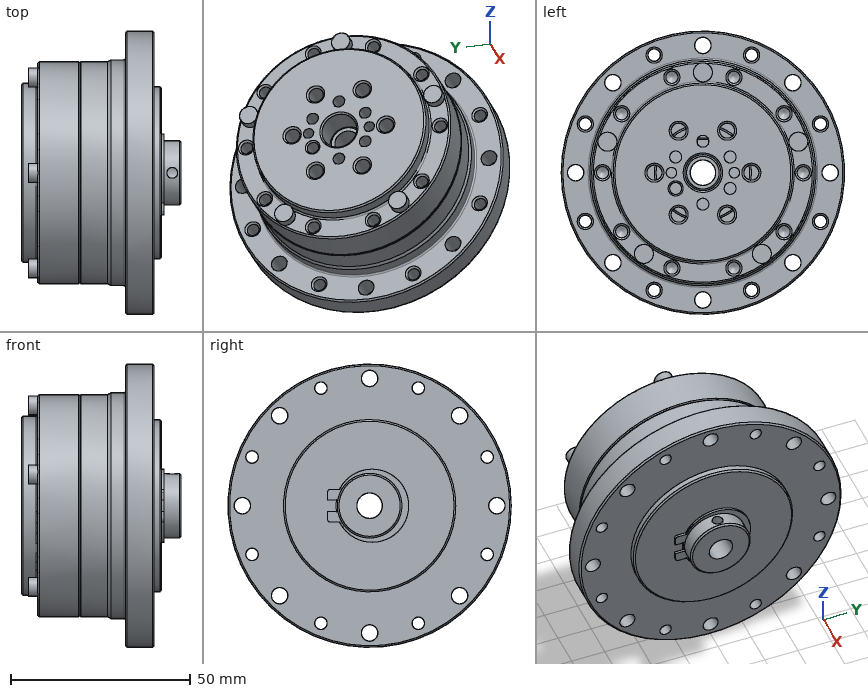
import cadquery as cq
import math


pin_front_x = 1.9
shoulder_x = 4.5
joint_x = 16.35
lead_in_start_x = 24.0
lead_in_end_x = 25.0
flange_front_x = 29.0
flange_rear_x = 37.0
boss_rear_x = 39.0
hub_rear_x = 44.5
cavity_front_x = 9.5
plug_front_x = 10.3
hub_shoulder_x = 12.65
plug_rear_x = 31.6
hub_front_x = 8.7

pilot_disc_dia = 50.0
body_dia = 62.0
spigot_dia = 63.05
flange_dia = 79.0
boss_dia = 48.0
plug_dia = 27.0
hub_dia = 18.0
snout_dia = 10.0

cavity_dia = 32.5
rear_bore_dia = 18.7
shaft_bore_dia = 7.0

edge_chamfer = 0.5
joint_chamfer_front = 0.4
joint_chamfer_rear = 0.2
bore_chamfer = 0.5
root_fillet = 0.5
plug_chamfer = 0.5

flange_circle_radius = 35.5
flange_hole_count = 8
clearance_hole_dia = 4.5
tapped_hole_dia = 3.4
tapped_hole_mouth_dia = 4.5

shoulder_circle_radius = 28.0
shoulder_hole_count = 10
shoulder_hole_depth = 6.3
drill_point_angle = 118.0
pin_count = 5
pin_dia = 5.3
pin_depth = 4.75

screw_circle_radius = 13.5
screw_hole_count = 6
screw_hole_dia = 4.2
screw_hole_mouth_dia = 5.3
inner_circle_radius = 8.8
inner_hole_angles = [30, 90, 150, 210, 270, 330]
inner_hole_dia = 3.3
countersunk_hole_angle = 330
inner_hole_mouth_dia = 4.2
dowel_hole_angles = [0, 180]
dowel_hole_dia = 2.9

set_screw_x = 42.0
set_screw_dia = 3.0

ring_thickness = 0.7
ring_groove_dia = 16.75
ring_outer_dia = 20.4
ring_offset_y = 0.7
lug_inner_z = 1.65
lug_outer_z = 4.6
lug_end_y = -11.8
lug_fillet = 0.95

slot_width = 3.0
slot_bottom_z = 6.7
slot_top_z = 9.7
slot_depth = 1.6
slot_slope_height = 0.5


def revolve_profile(profile):
    """Close an (x, radius) outline and turn it about the X axis."""
    return profile.close().revolve(360, (0, 0, 0), (1, 0, 0))


def rod(start_x, end_x, dia):
    """Cylinder on the X axis."""
    return cq.Workplane("YZ", origin=(start_x, 0, 0)).circle(dia / 2).extrude(end_x - start_x)


def cone(start_x, start_dia, end_dia, length):
    """Cone on the X axis, running towards +X."""
    start = cq.Vector(start_x, 0, 0)
    along_x = cq.Vector(1, 0, 0)
    return cq.Workplane(cq.Solid.makeCone(start_dia / 2, end_dia / 2, length, start, along_x))


def mouth(face_x, hole_dia, mouth_dia):
    """45 degree countersink that opens a hole towards -X at face_x."""
    depth = (mouth_dia - hole_dia) / 2
    return cone(face_x, mouth_dia, hole_dia, depth)


def around_axis(tool, radius, angle):
    """Move a tool from the X axis to a radius, at an angle from +Y towards +Z."""
    return tool.translate((0, radius, 0)).rotate((0, 0, 0), (1, 0, 0), angle)


def cut_circle(body, tool, radius, angles):
    """Cut copies of a tool at the given angles of a hole circle."""
    for angle in angles:
        body = body.cut(around_axis(tool, radius, angle))
    return body


def even_angles(count, first=0.0):
    """Evenly spaced angles of a full hole circle."""
    return [first + i * 360.0 / count for i in range(count)]


pin_angles = even_angles(pin_count, 90.0)


def make_output_flange():
    """Output plate with its pilot disc, the rim around the cavity and all its holes."""
    disc_r = pilot_disc_dia / 2
    body_r = body_dia / 2
    profile = (
        cq.Workplane("XY")
        .moveTo(0, 0)
        .lineTo(0, disc_r - edge_chamfer)
        .lineTo(edge_chamfer, disc_r)
        .lineTo(shoulder_x - root_fillet, disc_r)
        .radiusArc((shoulder_x, disc_r + root_fillet), -root_fillet)
        .lineTo(shoulder_x, body_r - edge_chamfer)
        .lineTo(shoulder_x + edge_chamfer, body_r)
        .lineTo(joint_x - joint_chamfer_front, body_r)
        .lineTo(joint_x, body_r - joint_chamfer_front)
        .lineTo(joint_x, 0)
    )
    body = revolve_profile(profile)
    body = body.cut(rod(cavity_front_x, joint_x, cavity_dia))

    body = body.cut(rod(0, cavity_front_x, snout_dia))
    body = body.cut(mouth(0, snout_dia, snout_dia + 2 * bore_chamfer))

    screw_hole = rod(0, cavity_front_x, screw_hole_dia).union(mouth(0, screw_hole_dia, screw_hole_mouth_dia))
    body = cut_circle(body, screw_hole, screw_circle_radius, even_angles(screw_hole_count))

    inner_hole = rod(0, cavity_front_x, inner_hole_dia)
    body = cut_circle(body, inner_hole, inner_circle_radius, inner_hole_angles)
    inner_mouth = mouth(0, inner_hole_dia, inner_hole_mouth_dia)
    body = body.cut(around_axis(inner_mouth, inner_circle_radius, countersunk_hole_angle))
    dowel_hole = rod(0, cavity_front_x, dowel_hole_dia)
    body = cut_circle(body, dowel_hole, inner_circle_radius, dowel_hole_angles)

    hole_end_x = shoulder_x + shoulder_hole_depth
    tip_length = tapped_hole_dia / 2 / math.tan(math.radians(drill_point_angle / 2))
    tip = cone(hole_end_x, tapped_hole_dia, 0, tip_length)
    tapped_hole = rod(shoulder_x, hole_end_x, tapped_hole_dia).union(tip)
    tapped_hole = tapped_hole.union(mouth(shoulder_x, tapped_hole_dia, tapped_hole_mouth_dia))
    body = cut_circle(body, tapped_hole, shoulder_circle_radius, even_angles(shoulder_hole_count))

    seat = rod(pin_front_x, shoulder_x + pin_depth, pin_dia)
    return cut_circle(body, seat, shoulder_circle_radius, pin_angles)


def make_housing():
    """Housing with lead-in, spigot, mounting flange and rear boss."""
    body_r = body_dia / 2
    spigot_r = spigot_dia / 2
    flange_r = flange_dia / 2
    boss_r = boss_dia / 2
    profile = (
        cq.Workplane("XY")
        .moveTo(joint_x, 0)
        .lineTo(joint_x, body_r - joint_chamfer_rear)
        .lineTo(joint_x + joint_chamfer_rear, body_r)
        .lineTo(lead_in_start_x, body_r)
        .lineTo(lead_in_end_x, spigot_r)
        .lineTo(flange_front_x - root_fillet, spigot_r)
        .radiusArc((flange_front_x, spigot_r + root_fillet), -root_fillet)
        .lineTo(flange_front_x, flange_r - edge_chamfer)
        .lineTo(flange_front_x + edge_chamfer, flange_r)
        .lineTo(flange_rear_x - edge_chamfer, flange_r)
        .lineTo(flange_rear_x, flange_r - edge_chamfer)
        .lineTo(flange_rear_x, boss_r)
        .lineTo(boss_rear_x - edge_chamfer, boss_r)
        .lineTo(boss_rear_x, boss_r - edge_chamfer)
        .lineTo(boss_rear_x, 0)
    )
    body = revolve_profile(profile)
    body = body.cut(rod(joint_x, plug_rear_x, cavity_dia))
    body = body.cut(rod(plug_rear_x, boss_rear_x, rear_bore_dia))

    angles = even_angles(flange_hole_count)
    clearance_hole = rod(flange_front_x, flange_rear_x, clearance_hole_dia)
    body = cut_circle(body, clearance_hole, flange_circle_radius, angles)
    tapped_hole = rod(flange_front_x, flange_rear_x, tapped_hole_dia)
    tapped_hole = tapped_hole.union(mouth(flange_front_x, tapped_hole_dia, tapped_hole_mouth_dia))
    between = even_angles(flange_hole_count, 180.0 / flange_hole_count)
    return cut_circle(body, tapped_hole, flange_circle_radius, between)


def make_plug():
    """Plug inside the cavity, fitted on the hub."""
    body = rod(plug_front_x, plug_rear_x, plug_dia).faces("<X").chamfer(plug_chamfer)
    body = body.cut(rod(plug_front_x, hub_shoulder_x, snout_dia))
    body = body.cut(rod(hub_shoulder_x, plug_rear_x, hub_dia))

    slot_end_x = plug_front_x + slot_depth
    slot = (
        cq.Workplane("XZ")
        .moveTo(plug_front_x, slot_bottom_z)
        .lineTo(plug_front_x, slot_top_z)
        .lineTo(slot_end_x, slot_top_z - slot_slope_height)
        .lineTo(slot_end_x, slot_bottom_z)
        .close()
        .extrude(slot_width / 2, both=True)
    )
    return body.cut(slot)


def make_hub():
    """Input hub: a snout in the output bore and a barrel that leaves at the rear."""
    snout = rod(hub_front_x, hub_shoulder_x, snout_dia).faces("<X").chamfer(bore_chamfer)
    barrel = rod(hub_shoulder_x, hub_rear_x, hub_dia).faces(">X").chamfer(edge_chamfer)
    body = snout.union(barrel).cut(rod(hub_front_x, hub_rear_x, shaft_bore_dia))

    ring_end_x = boss_rear_x + ring_thickness
    groove = rod(boss_rear_x, ring_end_x, hub_dia).cut(rod(boss_rear_x, ring_end_x, ring_groove_dia))
    body = body.cut(groove)

    set_screw = cq.Workplane("XY").center(set_screw_x, 0).circle(set_screw_dia / 2).extrude(hub_dia)
    return body.cut(set_screw)


def make_retaining_ring():
    """Snap ring in the hub groove, with two lugs at -Y."""
    plane = cq.Workplane("YZ", origin=(boss_rear_x, 0, 0))
    ring = plane.center(ring_offset_y, 0).circle(ring_outer_dia / 2).extrude(ring_thickness)
    lugs = plane.center(lug_end_y / 2, 0).rect(-lug_end_y, 2 * lug_outer_z).extrude(ring_thickness)
    lugs = lugs.edges("|X and <Y").fillet(lug_fillet)
    gap = plane.center(lug_end_y / 2, 0).rect(-lug_end_y, 2 * lug_inner_z).extrude(ring_thickness)
    shaft = plane.circle(ring_groove_dia / 2).extrude(ring_thickness)
    return ring.union(lugs).cut(gap).cut(shaft)


def make_pin(angle):
    """Locating pin in its seat on the shoulder circle."""
    pin = rod(pin_front_x, shoulder_x + pin_depth, pin_dia)
    return around_axis(pin, shoulder_circle_radius, angle)


output_flange = make_output_flange()
housing = make_housing()
plug = make_plug()
hub = make_hub()
retaining_ring = make_retaining_ring()
pins = [make_pin(angle) for angle in pin_angles]

result = cq.Compound.makeCompound(
    [
        output_flange.val(),
        housing.val(),
        plug.val(),
        hub.val(),
        retaining_ring.val(),
        *[pin.val() for pin in pins],
    ]
)